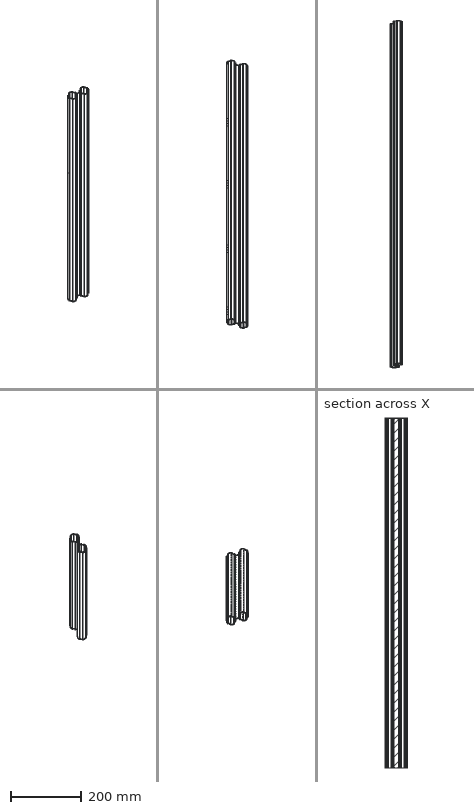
import cadquery as cq
import math

length = 1000.0
depth = 65.0
tube_diameter = 28.0

wall = 2.0
web_thickness = 2.0

groove_directions = (45, 135, 225, 315)
groove_depth = 1.8
groove_mouth_angle = 35
groove_floor_angle = 32

tube_radius = tube_diameter / 2
groove_floor_radius = tube_radius - groove_depth
tube_offset = depth / 2 - tube_radius


def polar_point(radius, angle):
    """Point at an angle in degrees around the tube axis."""
    return (
        radius * math.cos(math.radians(angle)),
        radius * math.sin(math.radians(angle)),
    )


def add_arc(outline, radius, middle, span):
    """Extend the outline by an arc around the tube axis, centred on the middle angle."""
    return outline.threePointArc(
        polar_point(radius, middle),
        polar_point(radius, middle + span / 2),
    )


def grooved_outline():
    """Circle interrupted by evenly spaced grooves with concentric floors."""
    pitch = 360 / len(groove_directions)
    lobe_angle = pitch - groove_mouth_angle
    start_angle = groove_directions[0] - groove_mouth_angle / 2
    outline = cq.Workplane("XY").moveTo(*polar_point(tube_radius, start_angle))
    for direction in groove_directions:
        outline = outline.lineTo(*polar_point(groove_floor_radius, direction - groove_floor_angle / 2))
        outline = add_arc(outline, groove_floor_radius, direction, groove_floor_angle)
        outline = outline.lineTo(*polar_point(tube_radius, direction + groove_mouth_angle / 2))
        outline = add_arc(outline, tube_radius, direction + pitch / 2, lobe_angle)
    return outline.close()


def grooved_tube():
    """Tube of even wall thickness, so the bore follows the grooves."""
    body = grooved_outline().extrude(length)
    bore = grooved_outline().offset2D(-wall, "intersection").extrude(length)
    return body.cut(bore)


def web():
    """Flat strip between the tubes, ending halfway into each tube wall."""
    gap = 2 * (tube_offset - tube_radius)
    return cq.Workplane("XY").rect(web_thickness, gap + wall).extrude(length)


tube = grooved_tube()
front_tube = tube.translate((0, -tube_offset, 0))
back_tube = tube.translate((0, tube_offset, 0))

result = web().union(front_tube).union(back_tube)